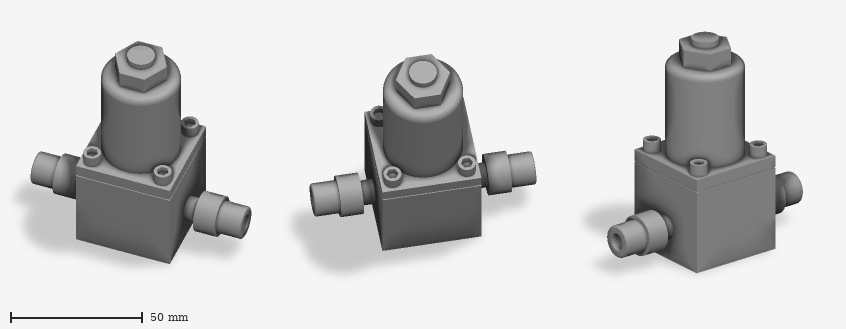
import cadquery as cq
import math

total_height = 85.85
fitting_span = 85.3

body_side = 38.1
body_height = 33.1
gasket_side = 37.3
gasket_thickness = 0.5
cover_thickness = 4.6
cover_top = body_height + gasket_thickness + cover_thickness

bonnet_diameter = 30.4
bonnet_top = 76.15
bonnet_fillet = 2.6
nut_top = 83.2
nut_across_flats = 19.15
nut_across_corners = 20.95
nut_flat_length = 10.05
stem_diameter = 10.6

screw_spacing = 28.7
screw_diameter = 6.8
screw_height = 4.55
socket_across_flats = 4.0
socket_depth = 2.6

fitting_axis_height = 12.7
neck_diameter = 9.5
collar_diameter = 15.9
collar_start = 24.1
collar_end = 32.9
spigot_diameter = 12.7
spigot_fillet = 0.9
bore_diameter = 6.3
bore_fillet = 0.6
bore_depth = 17.2


def square_plate(side, bottom, thickness):
    return cq.Workplane("XY", origin=(0, 0, bottom)).rect(side, side).extrude(thickness)


def make_housing():
    body = square_plate(body_side, 0, body_height)
    gasket = square_plate(gasket_side, body_height, gasket_thickness)
    cover = square_plate(body_side, body_height + gasket_thickness, cover_thickness)
    return body.union(gasket).union(cover)


def make_bonnet():
    bonnet = (
        cq.Workplane("XY", origin=(0, 0, cover_top))
        .circle(bonnet_diameter / 2)
        .extrude(bonnet_top - cover_top)
        .faces(">Z")
        .edges()
        .fillet(bonnet_fillet)
    )
    corner_x = nut_across_corners / 2
    flat_x = nut_flat_length / 2
    flat_y = nut_across_flats / 2
    nut_corners = [
        (corner_x, 0),
        (flat_x, flat_y),
        (-flat_x, flat_y),
        (-corner_x, 0),
        (-flat_x, -flat_y),
        (flat_x, -flat_y),
    ]
    nut = (
        cq.Workplane("XY", origin=(0, 0, bonnet_top))
        .polyline(nut_corners)
        .close()
        .extrude(nut_top - bonnet_top)
    )
    stem = (
        cq.Workplane("XY", origin=(0, 0, nut_top))
        .circle(stem_diameter / 2)
        .extrude(total_height - nut_top)
    )
    return bonnet.union(nut).union(stem)


def make_screws():
    socket_across_corners = socket_across_flats / math.cos(math.pi / 6)
    heads = (
        cq.Workplane("XY", origin=(0, 0, cover_top))
        .rect(screw_spacing, screw_spacing, forConstruction=True)
        .vertices()
        .circle(screw_diameter / 2)
        .extrude(screw_height)
    )
    sockets = (
        cq.Workplane("XY", origin=(0, 0, cover_top + screw_height))
        .rect(screw_spacing, screw_spacing, forConstruction=True)
        .vertices()
        .polygon(6, socket_across_corners)
        .extrude(-socket_depth)
    )
    return heads.cut(sockets)


def make_fitting():
    """Fitting on the +X side, revolved about its horizontal axis."""
    body_face = body_side / 2
    outer_end = fitting_span / 2
    bore_radius = bore_diameter / 2
    bore_floor = outer_end - bore_depth
    spigot_radius = spigot_diameter / 2
    arc_offset = 1 - math.sin(math.pi / 4)
    spigot_arc_middle = (
        outer_end - spigot_fillet * arc_offset,
        spigot_radius - spigot_fillet * arc_offset,
    )
    bore_arc_middle = (
        outer_end - bore_fillet * arc_offset,
        bore_radius + bore_fillet * arc_offset,
    )
    return (
        cq.Workplane("XY", origin=(0, 0, fitting_axis_height))
        .moveTo(body_face, 0)
        .lineTo(body_face, neck_diameter / 2)
        .lineTo(collar_start, neck_diameter / 2)
        .lineTo(collar_start, collar_diameter / 2)
        .lineTo(collar_end, collar_diameter / 2)
        .lineTo(collar_end, spigot_radius)
        .lineTo(outer_end - spigot_fillet, spigot_radius)
        .threePointArc(spigot_arc_middle, (outer_end, spigot_radius - spigot_fillet))
        .lineTo(outer_end, bore_radius + bore_fillet)
        .threePointArc(bore_arc_middle, (outer_end - bore_fillet, bore_radius))
        .lineTo(bore_floor, bore_radius)
        .lineTo(bore_floor, 0)
        .close()
        .revolve(360, (0, 0, 0), (1, 0, 0))
    )


right_fitting = make_fitting()
left_fitting = right_fitting.mirror("YZ")

result = (
    make_housing()
    .union(make_bonnet())
    .union(make_screws())
    .union(right_fitting)
    .union(left_fitting)
)